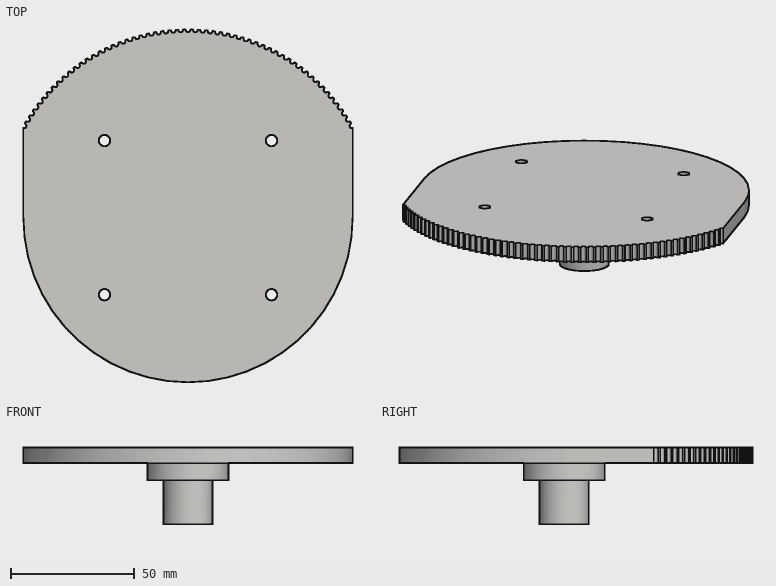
import cadquery as cq
import math

PLATE_RADIUS = 66.475
PLATE_THICKNESS = 6.4

BELT_PITCH = 3.0
FULL_CIRCLE_TEETH = 160
PITCH_LINE_OFFSET = 0.381
BELT_RADIUS = FULL_CIRCLE_TEETH * BELT_PITCH / (2 * math.pi) - PITCH_LINE_OFFSET
TOOTH_ANGLE = 360 / FULL_CIRCLE_TEETH
GROOVES_PER_SIDE = 27
GROOVE_DEPTH = 1.14
GROOVE_MOUTH_WIDTH = 2.1
GROOVE_FLANK_WIDTH = 1.7
GROOVE_FLANK_DEPTH = 0.4
GROOVE_OVERSHOOT = 0.5

HOLE_DIAMETER = 4.5
HOLE_SPACING_X = 67.4
HOLE_SPACING_Y = 62.2

TOTAL_HEIGHT = 31.09
FLANGE_DIAMETER = 32.78
FLANGE_HEIGHT = 6.9
SHAFT_DIAMETER = 19.96
SHAFT_LENGTH = TOTAL_HEIGHT - PLATE_THICKNESS - FLANGE_HEIGHT


def make_plate():
    """Plate with its underside at Z = 0."""
    corner_y = math.sqrt(BELT_RADIUS**2 - PLATE_RADIUS**2)
    return (
        cq.Workplane("XY")
        .moveTo(-PLATE_RADIUS, 0)
        .threePointArc((0, -PLATE_RADIUS), (PLATE_RADIUS, 0))
        .lineTo(PLATE_RADIUS, corner_y)
        .threePointArc((0, BELT_RADIUS), (-PLATE_RADIUS, corner_y))
        .close()
        .extrude(PLATE_THICKNESS)
    )


def make_groove():
    """Cutter for the round-bottomed belt groove that lies on the +Y axis."""
    mouth_half = GROOVE_MOUTH_WIDTH / 2
    flank_half = GROOVE_FLANK_WIDTH / 2
    outer_y = BELT_RADIUS + GROOVE_OVERSHOOT
    flank_y = BELT_RADIUS - GROOVE_FLANK_DEPTH
    return (
        cq.Workplane("XY")
        .moveTo(-mouth_half, outer_y)
        .lineTo(-mouth_half, BELT_RADIUS)
        .lineTo(-flank_half, flank_y)
        .threePointArc((0, BELT_RADIUS - GROOVE_DEPTH), (flank_half, flank_y))
        .lineTo(mouth_half, BELT_RADIUS)
        .lineTo(mouth_half, outer_y)
        .close()
        .extrude(PLATE_THICKNESS)
    )


def cut_belt_grooves(plate):
    groove = make_groove()
    cutters = cq.Workplane("XY")
    for index in range(-GROOVES_PER_SIDE, GROOVES_PER_SIDE + 1):
        turned_groove = groove.rotate((0, 0, 0), (0, 0, 1), index * TOOTH_ANGLE)
        cutters = cutters.add(turned_groove)
    return plate.cut(cutters.combine())


def cut_mounting_holes(plate):
    return (
        plate.faces(">Z")
        .workplane(origin=(0, 0, PLATE_THICKNESS))
        .rarray(HOLE_SPACING_X, HOLE_SPACING_Y, 2, 2)
        .hole(HOLE_DIAMETER)
    )


def make_hub():
    """Flange and shaft hanging from the underside of the plate."""
    flange = cq.Workplane("XY").circle(FLANGE_DIAMETER / 2).extrude(-FLANGE_HEIGHT)
    return flange.faces("<Z").workplane().circle(SHAFT_DIAMETER / 2).extrude(SHAFT_LENGTH)


toothed_plate = cut_belt_grooves(make_plate())
drilled_plate = cut_mounting_holes(toothed_plate)
result = drilled_plate.union(make_hub())